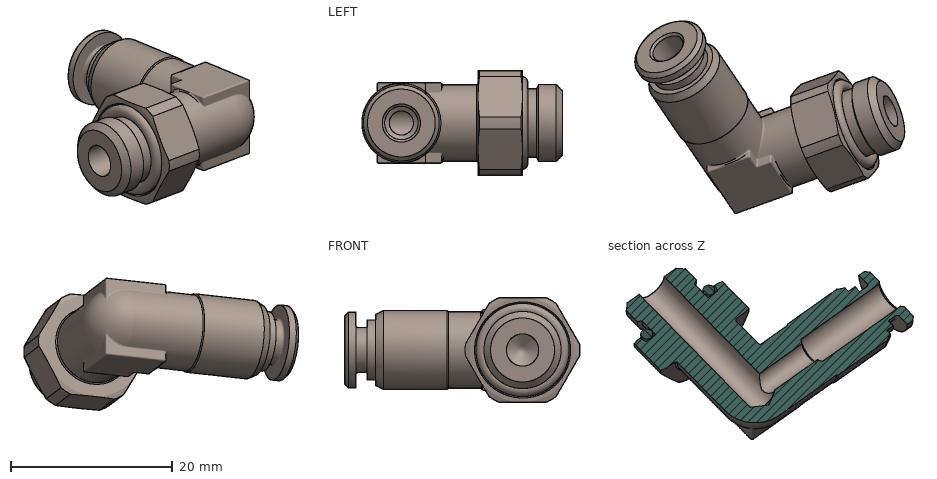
import cadquery as cq
import math


arm_radius = 4.75
edge_radius = 0.2

pad_height = 5.0
pad_reach = 5.0
pad_half_width = 3.0

tube_end_x = -22.08
flange_radius = 4.7
flange_chamfer = 0.5
flange_width = 1.4
neck_radius = 2.8
neck_fillet = 0.3
ring_radius = 3.75
ring_start = 2.8
sleeve_radius = 4.9
sleeve_start = 3.85
sleeve_face_radius = 4.4
sleeve_chamfer_length = 0.95
sleeve_end = 12.88

socket_radius = 2.07
socket_chamfer = 0.3
passage_radius = 1.5
drill_half_angle = math.radians(59)

hex_across_flats = 13.0
hex_corner_radius = 7.12
hex_start = 9.52
hex_end = 15.0
hex_chamfer_angle = math.radians(15)
stem_flare = 0.18

stud_radius = 4.8
stud_neck_radius = 4.25
stud_shoulder_start = 16.75
stud_end = 20.0
stud_chamfer = 0.82
stud_bore_radius = 2.0

cord_radius = 0.75
cord_depth = 0.1
ring_centre_radius = stud_neck_radius + cord_radius
groove_depth = cord_depth + cord_radius
groove_floor_radius = ring_centre_radius + cord_radius
groove_mouth_radius = 5.95


def turn_about_x(points):
    """Solid of revolution about X from (x, radius) points."""
    return cq.Workplane("XY").polyline(points).close().revolve(360, (0, 0), (1, 0))


def turn_about_y(points):
    """Solid of revolution about Y from (radius, distance along -Y) points."""
    profile = [(radius, -distance) for radius, distance in points]
    return cq.Workplane("XY").polyline(profile).close().revolve(360, (0, 0), (0, 1))


def make_pads():
    """L-shaped block through the bend; its ends form the upper and lower pads."""
    outline = [
        (-pad_reach, pad_half_width),
        (pad_half_width, pad_half_width),
        (pad_half_width, -pad_reach),
        (-pad_half_width, -pad_reach),
        (-pad_half_width, -pad_half_width),
        (-pad_reach, -pad_half_width),
    ]
    return cq.Workplane("XY").polyline(outline).close().extrude(pad_height, both=True)


def make_elbow():
    """Two round arms joined by a spherical corner, with the pads added."""
    tube_arm = cq.Workplane("YZ").circle(arm_radius).extrude(tube_end_x + sleeve_end - 0.3)
    stem_arm = cq.Workplane("XZ").circle(arm_radius).extrude(hex_start)
    corner = cq.Workplane("XY").sphere(arm_radius)
    elbow = tube_arm.union(stem_arm).union(corner).union(make_pads())

    pad_low = -pad_reach - edge_radius
    pad_high = pad_half_width + edge_radius
    below_rim = pad_height - edge_radius
    pad_sides = cq.selectors.BoxSelector(
        (pad_low, pad_low, -below_rim), (pad_high, pad_high, below_rim)
    )
    elbow = elbow.edges(pad_sides).fillet(edge_radius)
    return elbow.faces("|Z").edges().fillet(edge_radius)


def make_tube_end():
    """Release collar, neck, ring and sleeve at the open end of the tube arm."""
    flange_back = tube_end_x + flange_width
    ring_x = tube_end_x + ring_start
    sleeve_x = tube_end_x + sleeve_start
    sleeve_end_x = tube_end_x + sleeve_end
    end_step = sleeve_radius - arm_radius
    profile = (
        cq.Workplane("XY")
        .moveTo(tube_end_x, 0)
        .lineTo(tube_end_x, flange_radius - flange_chamfer)
        .lineTo(tube_end_x + flange_chamfer, flange_radius)
        .lineTo(flange_back, flange_radius)
        .lineTo(flange_back, neck_radius + neck_fillet)
        .radiusArc((flange_back + neck_fillet, neck_radius), -neck_fillet)
        .lineTo(ring_x, neck_radius)
        .lineTo(ring_x, ring_radius)
        .lineTo(sleeve_x, ring_radius)
        .lineTo(sleeve_x, sleeve_face_radius)
        .lineTo(sleeve_x + sleeve_chamfer_length, sleeve_radius)
        .lineTo(sleeve_end_x - end_step, sleeve_radius)
        .lineTo(sleeve_end_x, arm_radius)
        .lineTo(sleeve_end_x, 0)
        .close()
    )
    return profile.revolve(360, (0, 0), (1, 0))


def make_hexagon():
    """Hexagon with turned corners and a shallow chamfer on both faces."""
    flat_radius = hex_across_flats / 2
    chamfer_length = (hex_corner_radius - flat_radius) * math.tan(hex_chamfer_angle)
    prism = (
        cq.Workplane("XZ", origin=(0, -hex_start, 0))
        .polygon(6, hex_across_flats / math.cos(math.radians(30)))
        .extrude(hex_end - hex_start)
    )
    turned_blank = turn_about_y([
        (0, hex_start),
        (flat_radius, hex_start),
        (hex_corner_radius, hex_start + chamfer_length),
        (hex_corner_radius, hex_end - chamfer_length),
        (flat_radius, hex_end),
        (0, hex_end),
    ])
    flare = turn_about_y([
        (0, hex_start - stem_flare),
        (arm_radius, hex_start - stem_flare),
        (arm_radius + stem_flare, hex_start),
        (0, hex_start),
    ])
    return prism.intersect(turned_blank).union(flare)


def make_stud():
    """Relieved neck and chamfered stud below the hexagon."""
    shoulder = stud_radius - stud_neck_radius
    return turn_about_y([
        (0, hex_start),
        (stud_neck_radius, hex_start),
        (stud_neck_radius, stud_shoulder_start),
        (stud_radius, stud_shoulder_start + shoulder / 2),
        (stud_radius, stud_end - stud_chamfer),
        (stud_radius - stud_chamfer, stud_end),
        (0, stud_end),
    ])


def make_groove():
    """Ring-shaped recess for the O-ring, with a slightly conical outer wall."""
    return turn_about_y([
        (stud_neck_radius, hex_end),
        (groove_mouth_radius, hex_end),
        (groove_floor_radius, hex_end - groove_depth),
        (stud_neck_radius, hex_end - groove_depth),
    ])


def make_tube_bore():
    """Tube socket with a drill-point shoulder, then the narrower passage to the bend."""
    socket_end_x = tube_end_x + sleeve_end
    shoulder_length = (socket_radius - passage_radius) / math.tan(drill_half_angle)
    return turn_about_x([
        (tube_end_x, 0),
        (tube_end_x, socket_radius + socket_chamfer),
        (tube_end_x + socket_chamfer, socket_radius),
        (socket_end_x, socket_radius),
        (socket_end_x + shoulder_length, passage_radius),
        (0, passage_radius),
        (0, 0),
    ])


def make_stud_bore():
    """Blind drilled hole up the stem, just clearing the far side of the passage."""
    tip_length = stud_bore_radius / math.tan(drill_half_angle)
    return turn_about_y([
        (0, stud_end),
        (stud_bore_radius, stud_end),
        (stud_bore_radius, -passage_radius),
        (0, -passage_radius - tip_length),
    ])


def make_fitting():
    fitting = make_elbow().union(make_tube_end()).union(make_hexagon()).union(make_stud())
    return fitting.cut(make_groove()).cut(make_tube_bore()).cut(make_stud_bore())


def make_o_ring():
    return (
        cq.Workplane("XY")
        .center(ring_centre_radius, cord_depth - hex_end)
        .circle(cord_radius)
        .revolve(360, (-ring_centre_radius, 0), (-ring_centre_radius, 1))
    )


fitting = make_fitting()
o_ring = make_o_ring()
result = cq.Compound.makeCompound([fitting.val(), o_ring.val()])